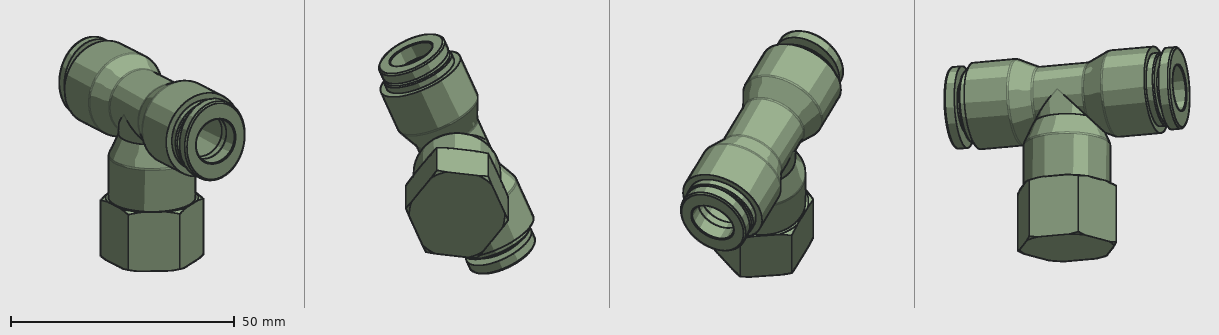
import cadquery as cq
import math


overall_length = 52.8
overall_height = 44.8

end_diameter = 19.5
waist_diameter = 15.0
housing_length = 42.15
waist_half_length = 5.95
shoulder_start = 11.0
blend_radius = 1.05
socket_diameter = 10.15
socket_floor = shoulder_start

nut_across_flats = 20.0
nut_height = 14.0
top_chamfer_circle = 20.75
top_chamfer_drop = 0.55
bottom_chamfer_circle = 21.35
bottom_chamfer_drop = 0.35

ring_diameter = 16.5
ring_chamfer = 0.3

flange_height = 18.6
flange_width = 16.0
flange_thickness = 2.5
flange_chamfer = 0.35
neck_diameter = 11.7
neck_length = 1.05
sleeve_bore = 10.2
mouth_chamfer = 0.2

edge_search = 0.05

housing_end = housing_length / 2
sleeve_end = overall_length / 2
flange_back = sleeve_end - flange_thickness
ring_front = flange_back - neck_length
ring_thickness = ring_front - housing_end
nut_bottom = end_diameter / 2 - overall_height
nut_top = nut_bottom + nut_height
nut_across_corners = nut_across_flats / math.cos(math.radians(30))


def x_plane(x):
    """Plane facing +X at the given distance along the tube axis."""
    return cq.Workplane("YZ", origin=(x, 0, 0))


def blend_run(run):
    """Round the circular edges at both ends of both cones of the run."""
    for place in (waist_half_length, shoulder_start):
        for x in (-place, place):
            low = (x - edge_search, -end_diameter, -end_diameter)
            high = (x + edge_search, end_diameter, end_diameter)
            run = run.edges(cq.selectors.BoxSelector(low, high)).fillet(blend_radius)
    return run


def make_run():
    """Run of the tee: a waist that widens through cones into two thick ends."""
    end_radius = end_diameter / 2
    waist_radius = waist_diameter / 2
    profile = (
        cq.Workplane("XZ")
        .moveTo(-housing_end, 0)
        .lineTo(-housing_end, end_radius)
        .lineTo(-shoulder_start, end_radius)
        .lineTo(-waist_half_length, waist_radius)
        .lineTo(waist_half_length, waist_radius)
        .lineTo(shoulder_start, end_radius)
        .lineTo(housing_end, end_radius)
        .lineTo(housing_end, 0)
        .close()
    )
    run = profile.revolve(360, (0, 0, 0), (1, 0, 0))
    return blend_run(run)


def make_branch():
    """Branch of the tee: the same waist and cone, pointing down onto the nut.

    Only the wide end of its cone is rounded.
    """
    end_radius = end_diameter / 2
    waist_radius = waist_diameter / 2
    profile = (
        cq.Workplane("XZ")
        .lineTo(waist_radius, 0)
        .lineTo(waist_radius, -waist_half_length)
        .lineTo(end_radius, -shoulder_start)
        .lineTo(end_radius, nut_top)
        .lineTo(0, nut_top)
        .close()
    )
    branch = profile.revolve(360, (0, 0, 0), (0, 1, 0))
    low = (-end_diameter, -end_diameter, -shoulder_start - edge_search)
    high = (end_diameter, end_diameter, -shoulder_start + edge_search)
    return branch.edges(cq.selectors.BoxSelector(low, high)).fillet(blend_radius)


def make_housing():
    """Tee housing with a blind tube socket in each end of the run."""
    housing = make_run().union(make_branch())
    socket = x_plane(socket_floor).circle(socket_diameter / 2).extrude(housing_end - socket_floor)
    return housing.cut(socket).cut(socket.mirror("YZ"))


def make_nut():
    """Hexagon with its corners on X, trimmed top and bottom by shallow cones."""
    hexagon = (
        cq.Workplane("XY", origin=(0, 0, nut_bottom))
        .polygon(6, nut_across_corners)
        .extrude(nut_height)
    )
    corner_radius = nut_across_corners / 2
    envelope = (
        cq.Workplane("XZ")
        .moveTo(0, nut_bottom)
        .lineTo(bottom_chamfer_circle / 2, nut_bottom)
        .lineTo(corner_radius, nut_bottom + bottom_chamfer_drop)
        .lineTo(corner_radius, nut_top - top_chamfer_drop)
        .lineTo(top_chamfer_circle / 2, nut_top)
        .lineTo(0, nut_top)
        .close()
        .revolve(360, (0, 0, 0), (0, 1, 0))
    )
    return hexagon.intersect(envelope)


def make_ring():
    """End ring on the +X socket, chamfered on its outer front edge."""
    ring = x_plane(housing_end).circle(ring_diameter / 2).extrude(ring_thickness)
    ring = ring.faces(">X").edges().chamfer(ring_chamfer)
    bore = x_plane(housing_end).circle(socket_diameter / 2).extrude(ring_thickness)
    return ring.cut(bore)


def make_sleeve():
    """Release sleeve on the +X side: an oval flange on a round neck, bored for the tube."""
    flange = (
        x_plane(flange_back)
        .ellipse(flange_width / 2, flange_height / 2)
        .extrude(flange_thickness)
        .faces(">X")
        .edges()
        .chamfer(flange_chamfer)
    )
    neck = x_plane(ring_front).circle(neck_diameter / 2).extrude(neck_length)
    bore = x_plane(ring_front).circle(sleeve_bore / 2).extrude(sleeve_end - ring_front)
    sleeve = flange.union(neck).cut(bore)
    return sleeve.faces(">X").edges("%CIRCLE").chamfer(mouth_chamfer)


housing = make_housing()
nut = make_nut()

end_parts = []
for turn in (0, 180):
    for make_part in (make_ring, make_sleeve):
        part = make_part().rotate((0, 0, 0), (0, 0, 1), turn)
        end_parts.append(part.val())

result = cq.Compound.makeCompound([housing.val(), nut.val(), *end_parts])